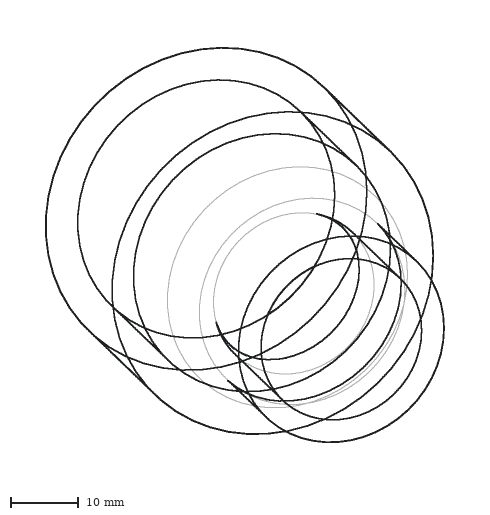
import cadquery as cq
import math

total_length = 63.0
large_outer_radius = 50.0 / 2
small_outer_radius = 32.0 / 2
large_bore_radius = 40.0 / 2
small_bore_radius = 25.0 / 2
throat_radius = 24.0 / 2

large_end_length = 31.0
cone_angle = math.radians(43.0)
outer_fillet_radius = 10.0

large_bore_depth = 26.0
throat_curve_radius = 12.0


def arc_run(radius, angle):
    """Axial length of an arc that starts parallel to the axis and turns through angle."""
    return radius * math.sin(angle)


def arc_rise(radius, angle):
    """Radial height of an arc that starts parallel to the axis and turns through angle."""
    return radius * (1 - math.cos(angle))


def make_outside():
    fillet_start_radius = small_outer_radius + arc_rise(outer_fillet_radius, cone_angle)
    cone_length = (large_outer_radius - fillet_start_radius) / math.tan(cone_angle)
    fillet_start_x = large_end_length + cone_length
    fillet_end_x = fillet_start_x + arc_run(outer_fillet_radius, cone_angle)
    fillet_middle = (
        fillet_end_x - arc_run(outer_fillet_radius, cone_angle / 2),
        small_outer_radius + arc_rise(outer_fillet_radius, cone_angle / 2),
    )
    profile = (
        cq.Workplane("XY")
        .lineTo(0, large_outer_radius)
        .lineTo(large_end_length, large_outer_radius)
        .lineTo(fillet_start_x, fillet_start_radius)
        .threePointArc(fillet_middle, (fillet_end_x, small_outer_radius))
        .lineTo(total_length, small_outer_radius)
        .lineTo(total_length, 0)
        .close()
    )
    return profile.revolve(360, (0, 0, 0), (1, 0, 0))


def make_bore():
    inlet_angle = math.acos(1 - (large_bore_radius - throat_radius) / throat_curve_radius)
    outlet_angle = math.acos(1 - (small_bore_radius - throat_radius) / throat_curve_radius)
    throat_x = large_bore_depth + arc_run(throat_curve_radius, inlet_angle)
    outlet_x = throat_x + arc_run(throat_curve_radius, outlet_angle)
    profile = (
        cq.Workplane("XY")
        .lineTo(0, large_bore_radius)
        .lineTo(large_bore_depth, large_bore_radius)
        .threePointArc((throat_x, throat_radius), (outlet_x, small_bore_radius))
        .lineTo(total_length, small_bore_radius)
        .lineTo(total_length, 0)
        .close()
    )
    return profile.revolve(360, (0, 0, 0), (1, 0, 0))


result = make_outside().cut(make_bore())